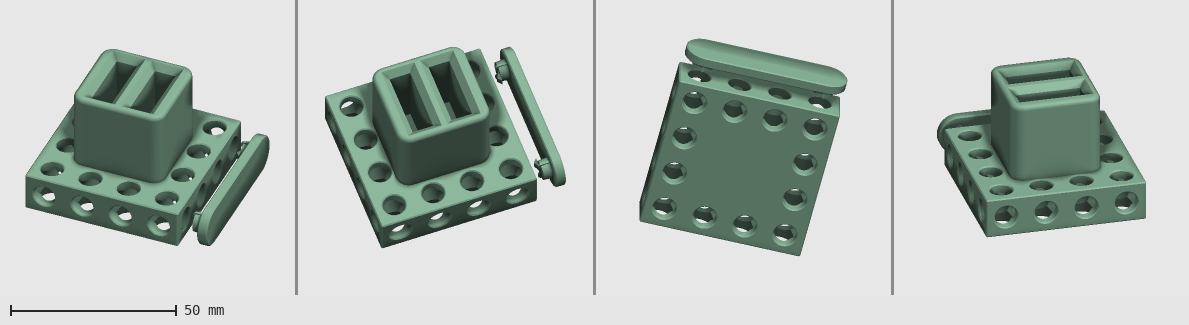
import cadquery as cq

BASE_SIDE = 50.0
HOLE_COUNT = 4
PITCH = BASE_SIDE / HOLE_COUNT
HOLE_DIAMETER = 7.0
EDGE_CHAMFER = 0.35

BASE_HEIGHT = PITCH
HOLE_OFFSETS = [(i - (HOLE_COUNT - 1) / 2) * PITCH for i in range(HOLE_COUNT)]
OUTER_OFFSET = HOLE_OFFSETS[-1]

TOWER_LENGTH = 29.65
TOWER_WIDTH = 28.1
TOWER_HEIGHT = 2 * PITCH
TOWER_CORNER_RADIUS = 4.0
TOWER_TOP_FILLET = 1.5
TOWER_TOP = BASE_HEIGHT + TOWER_HEIGHT
POCKET_LENGTH = 10.7
POCKET_WIDTH = 24.1
POCKET_TAPER = 2.0
POCKET_DEPTH = TOWER_HEIGHT

OVERALL_LENGTH = 59.4
CLIP_BACK = OVERALL_LENGTH - BASE_SIDE / 2
CLIP_THICKNESS = 3.2
CLIP_FRONT = CLIP_BACK - CLIP_THICKNESS
AXIS_HEIGHT = BASE_HEIGHT / 2
PEG_LENGTH = 2.8
PEG_ROOT_RADIUS = 3.25
PEG_TIP_RADIUS = 3.0
PEG_TIP = CLIP_FRONT - PEG_LENGTH
FIN_THICKNESS = 0.8
FIN_HALF_HEIGHT = 3.55
FIN_SHOULDER = 0.2
FIN_REACH = 0.7
FIN_BEVEL = 0.5
SCOOP_HALF_WIDTH = 1.95
BARB_HEIGHT = 2.1
BARB_REACH = 1.2
BARB_PEAK = 2.7
BARB_END = 4.05


def hole_cutter(length):
    """Hole tool along +Z from z = 0, flared at both ends by the edge chamfer."""
    radius = HOLE_DIAMETER / 2
    mouth = radius + EDGE_CHAMFER
    return (
        cq.Workplane("XZ")
        .moveTo(0, 0)
        .lineTo(mouth, 0)
        .lineTo(radius, EDGE_CHAMFER)
        .lineTo(radius, length - EDGE_CHAMFER)
        .lineTo(mouth, length)
        .lineTo(0, length)
        .close()
        .revolve(360, (0, 0, 0), (0, 1, 0))
    )


def pocket_cutter():
    """Straight pocket with a 45 degree tapered mouth, hanging down from z = 0."""
    floor_length = POCKET_LENGTH - 2 * POCKET_TAPER
    floor_width = POCKET_WIDTH - 2 * POCKET_TAPER
    mouth = (
        cq.Workplane("XY")
        .rect(POCKET_LENGTH, POCKET_WIDTH)
        .workplane(offset=-POCKET_TAPER)
        .rect(floor_length, floor_width)
        .loft(ruled=True)
    )
    shaft = cq.Workplane("XY").rect(floor_length, floor_width).extrude(-POCKET_DEPTH)
    return mouth.union(shaft)


def make_housing():
    """Perforated base with the two-pocket tower on top, as one solid."""
    base = (
        cq.Workplane("XY")
        .box(BASE_SIDE, BASE_SIDE, BASE_HEIGHT, centered=(True, True, False))
        .edges()
        .chamfer(EDGE_CHAMFER)
    )

    side_hole = hole_cutter(BASE_SIDE).translate((0, 0, -BASE_SIDE / 2))
    along_x = side_hole.rotate((0, 0, 0), (0, 1, 0), 90)
    along_y = side_hole.rotate((0, 0, 0), (1, 0, 0), 90)
    for offset in HOLE_OFFSETS:
        base = base.cut(along_x.translate((0, offset, AXIS_HEIGHT)))
        base = base.cut(along_y.translate((offset, 0, AXIS_HEIGHT)))

    upright_hole = hole_cutter(BASE_HEIGHT)
    for x in HOLE_OFFSETS:
        for y in HOLE_OFFSETS:
            if OUTER_OFFSET in (abs(x), abs(y)):
                base = base.cut(upright_hole.translate((x, y, 0)))

    tower = (
        cq.Workplane("XY", origin=(0, 0, BASE_HEIGHT))
        .box(TOWER_LENGTH, TOWER_WIDTH, TOWER_HEIGHT, centered=(True, True, False))
        .edges("|Z")
        .fillet(TOWER_CORNER_RADIUS)
        .faces(">Z")
        .edges()
        .fillet(TOWER_TOP_FILLET)
    )
    for x in (-PITCH / 2, PITCH / 2):
        tower = tower.cut(pocket_cutter().translate((x, 0, TOWER_TOP)))
    return base.union(tower)


def make_peg():
    """Snap peg on the -Y end of the clip, its barb pointing toward +Y."""
    shank = (
        cq.Workplane("XY")
        .moveTo(CLIP_FRONT, 0)
        .lineTo(CLIP_FRONT, PEG_ROOT_RADIUS)
        .lineTo(PEG_TIP, PEG_TIP_RADIUS)
        .lineTo(PEG_TIP, 0)
        .close()
        .revolve(360, (0, 0, 0), (1, 0, 0))
    )

    fin_tip = PEG_TIP - FIN_REACH
    fin_shoulder = PEG_TIP - FIN_SHOULDER
    bevel_height = FIN_HALF_HEIGHT - FIN_BEVEL
    fin = (
        cq.Workplane("XZ")
        .moveTo(CLIP_FRONT, -FIN_HALF_HEIGHT)
        .lineTo(fin_shoulder, -FIN_HALF_HEIGHT)
        .lineTo(fin_tip, -bevel_height)
        .lineTo(fin_tip, -SCOOP_HALF_WIDTH)
        .threePointArc((PEG_TIP, 0), (fin_tip, SCOOP_HALF_WIDTH))
        .lineTo(fin_tip, bevel_height)
        .lineTo(fin_shoulder, FIN_HALF_HEIGHT)
        .lineTo(CLIP_FRONT, FIN_HALF_HEIGHT)
        .close()
        .extrude(FIN_THICKNESS / 2, both=True)
    )

    barb = (
        cq.Workplane("XY")
        .moveTo(PEG_TIP, FIN_THICKNESS / 2)
        .lineTo(PEG_TIP - BARB_REACH, BARB_PEAK)
        .lineTo(PEG_TIP, BARB_END)
        .close()
        .extrude(BARB_HEIGHT / 2, both=True)
    )
    return shank.union(fin).union(barb).translate((0, -OUTER_OFFSET, AXIS_HEIGHT))


def make_clip():
    """Rounded bar carrying two mirrored snap pegs, as one solid."""
    bar = (
        cq.Workplane("YZ", origin=(CLIP_FRONT, 0, AXIS_HEIGHT))
        .slot2D(BASE_SIDE, BASE_HEIGHT)
        .extrude(CLIP_THICKNESS)
        .faces("<X or >X")
        .edges()
        .chamfer(EDGE_CHAMFER)
    )
    peg = make_peg()
    return bar.union(peg).union(peg.mirror("XZ"))


housing = make_housing()
clip = make_clip()
result = cq.Compound.makeCompound([housing.val(), clip.val()])